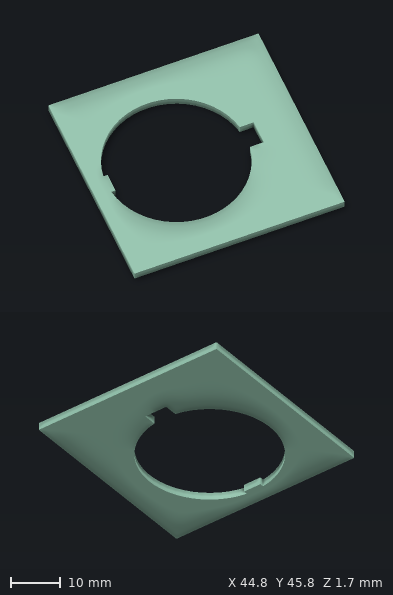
import cadquery as cq

width = 44.8
height = 45.75
thickness = 1.7

hole_radius = 15.15
hole_offset = -4.4

notch_width = 5.25
notch_reach = 17.95

key_width = 4.1
key_reach = 14.1


def opening_block(block_width, start, end):
    """Full-thickness block on the opening's centre line, from start to end along Y."""
    return (
        cq.Workplane("XY")
        .center(0, hole_offset + (start + end) / 2)
        .rect(block_width, end - start)
        .extrude(thickness)
    )


def opening():
    """Round cutter with the notch added and the key left standing."""
    disc = cq.Workplane("XY").center(0, hole_offset).circle(hole_radius).extrude(thickness)
    notch = opening_block(notch_width, 0, notch_reach)
    key = opening_block(key_width, -hole_radius, -key_reach)
    return disc.union(notch).cut(key)


plate = cq.Workplane("XY").rect(width, height).extrude(thickness)
result = plate.cut(opening())